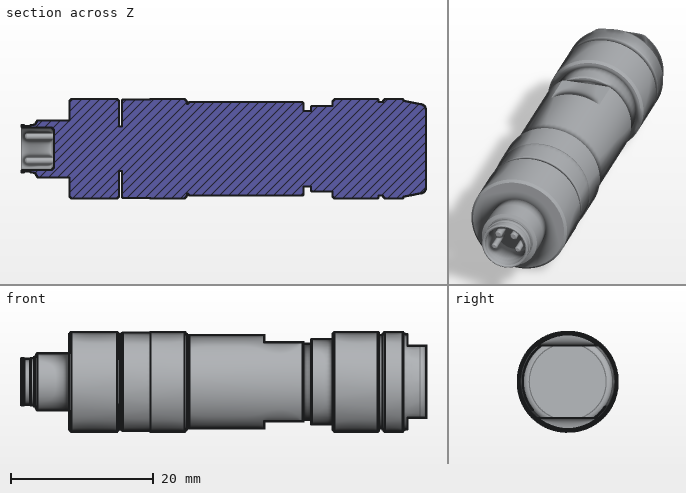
import cadquery as cq
import math


LENGTH = 56.65
OUTER_DIAMETER = 14.0

RIM_R = 3.35
RIM_GROOVE_R = 3.25
CONE_R = 3.45
PLUG_R = 4.0
CORE_R = 3.2
NUT_R = OUTER_DIAMETER / 2
RING_R = 6.9
BODY_R = 6.6
BODY_GROOVE_R = 6.3
NECK_R = 5.3
SHOULDER_R = 6.0
NUT_GROOVE_R = 6.6
CAP_FRONT_R = 6.75
CAP_REAR_R = 6.3
CAP_ROUND = 0.9
CHAMFER = 0.35
SMALL_CHAMFER = 0.15
RIM_CHAMFER = 0.1

SNAP_GROOVE_START = 0.45
SNAP_GROOVE_END = 1.25
SNAP_LIP_END = 1.75
CONE_START = 1.9
PLUG_START = 2.25
FRONT_NUT_START = 6.7
FRONT_NUT_END = 13.7
RING_START = 14.05
GRIP_START = 18.1
GRIP_END = 23.2
BODY_START = 23.35
BODY_END = 39.5
SHOULDER_START = 40.5
REAR_NUT_START = 43.5
REAR_NUT_END = 50.05
LOCK_RING_START = 50.55
LOCK_RING_END = 53.5

BODY_FLAT_START = 34.0
BODY_FLAT_Z = 5.55
CAP_FLAT_START = 54.05
CAP_FLAT_Z = 5.05

SOCKET_R = 2.95
SOCKET_FLOOR_R = 2.65
MOUTH_CHAMFER = 0.15
SOCKET_DEPTH = 4.55
PIN_TIP_X = 0.55
PIN_TIP_CHAMFER = 0.15
UPPER_PIN_R = 0.5
UPPER_PIN_SPACING = 2.2
UPPER_PIN_Z = 1.5
LOWER_PIN_R = 0.425
LOWER_PIN_SPACING = 3.4
LOWER_PIN_Z = -0.5


def band(start, end, radius, front_chamfer=0.0, rear_chamfer=0.0):
    """Outline points (x, radius) of a cylinder with chamfered edges."""
    return [
        (start, radius - front_chamfer),
        (start + front_chamfer, radius),
        (end - rear_chamfer, radius),
        (end, radius - rear_chamfer),
    ]


def turned_solid():
    """Whole connector as one revolved outline."""
    sections = [
        band(0, SNAP_GROOVE_START, RIM_R, RIM_CHAMFER, RIM_CHAMFER),
        band(SNAP_GROOVE_START, SNAP_GROOVE_END, RIM_GROOVE_R),
        band(SNAP_GROOVE_END, SNAP_LIP_END, RIM_R, RIM_CHAMFER),
        band(SNAP_LIP_END, CONE_START, CONE_R),
        band(PLUG_START, FRONT_NUT_START, PLUG_R),
        band(FRONT_NUT_START, FRONT_NUT_END, NUT_R, CHAMFER, CHAMFER),
        band(FRONT_NUT_END, RING_START, CORE_R),
        band(RING_START, GRIP_START, RING_R, SMALL_CHAMFER, 0),
        band(GRIP_START, GRIP_END, NUT_R, 0, CHAMFER),
        [((GRIP_END + BODY_START) / 2, BODY_GROOVE_R)],
        band(BODY_START, BODY_END, BODY_R, SMALL_CHAMFER, SMALL_CHAMFER),
        band(BODY_END, SHOULDER_START, NECK_R),
        band(SHOULDER_START, REAR_NUT_START, SHOULDER_R, SMALL_CHAMFER, 0),
        band(REAR_NUT_START, REAR_NUT_END, NUT_R, CHAMFER, SMALL_CHAMFER),
        band(REAR_NUT_END, LOCK_RING_START, NUT_GROOVE_R),
        band(LOCK_RING_START, LOCK_RING_END, NUT_R, CHAMFER, SMALL_CHAMFER),
        [(LOCK_RING_END, CAP_FRONT_R)],
    ]
    outline = cq.Workplane("XY").moveTo(0, 0)
    previous = (0, 0)
    for section in sections:
        for point in section:
            if point != previous:
                outline = outline.lineTo(*point)
            previous = point

    round_start = LENGTH - CAP_ROUND
    round_end_r = CAP_REAR_R - CAP_ROUND
    round_middle = (
        round_start + CAP_ROUND * math.sin(math.radians(45)),
        round_end_r + CAP_ROUND * math.cos(math.radians(45)),
    )
    outline = (
        outline.lineTo(round_start, CAP_REAR_R)
        .threePointArc(round_middle, (LENGTH, round_end_r))
        .lineTo(LENGTH, 0)
        .close()
    )
    return outline.revolve(360, (0, 0, 0), (1, 0, 0))


def flat_cutters(start, end, flat_z):
    """Blocks that cut one flat above and one flat below the axis."""
    height = NUT_R
    centers = [(0, flat_z + height / 2), (0, -flat_z - height / 2)]
    return (
        cq.Workplane("YZ", origin=(start, 0, 0))
        .pushPoints(centers)
        .rect(2 * NUT_R, height)
        .extrude(end - start)
    )


def socket_cutter():
    """Blind bore in the plug face, chamfered at the mouth and around the floor."""
    floor_chamfer = SOCKET_R - SOCKET_FLOOR_R
    return (
        cq.Workplane("XY")
        .polyline([
            (0, 0),
            (0, SOCKET_R + MOUTH_CHAMFER),
            (MOUTH_CHAMFER, SOCKET_R),
            (SOCKET_DEPTH - floor_chamfer, SOCKET_R),
            (SOCKET_DEPTH, SOCKET_FLOOR_R),
            (SOCKET_DEPTH, 0),
        ])
        .close()
        .revolve(360, (0, 0, 0), (1, 0, 0))
    )


def pin_pair(spacing, height, radius):
    """Two chamfered contact pins, mirrored across the XZ plane and rooted in the socket floor."""
    root = SOCKET_DEPTH + radius
    return (
        cq.Workplane("YZ", origin=(PIN_TIP_X, 0, 0))
        .pushPoints([(-spacing / 2, height), (spacing / 2, height)])
        .circle(radius)
        .extrude(root - PIN_TIP_X)
        .faces("<X")
        .chamfer(PIN_TIP_CHAMFER)
    )


result = (
    turned_solid()
    .cut(flat_cutters(BODY_FLAT_START, BODY_END, BODY_FLAT_Z))
    .cut(flat_cutters(CAP_FLAT_START, LENGTH, CAP_FLAT_Z))
    .cut(socket_cutter())
    .union(pin_pair(UPPER_PIN_SPACING, UPPER_PIN_Z, UPPER_PIN_R))
    .union(pin_pair(LOWER_PIN_SPACING, LOWER_PIN_Z, LOWER_PIN_R))
)